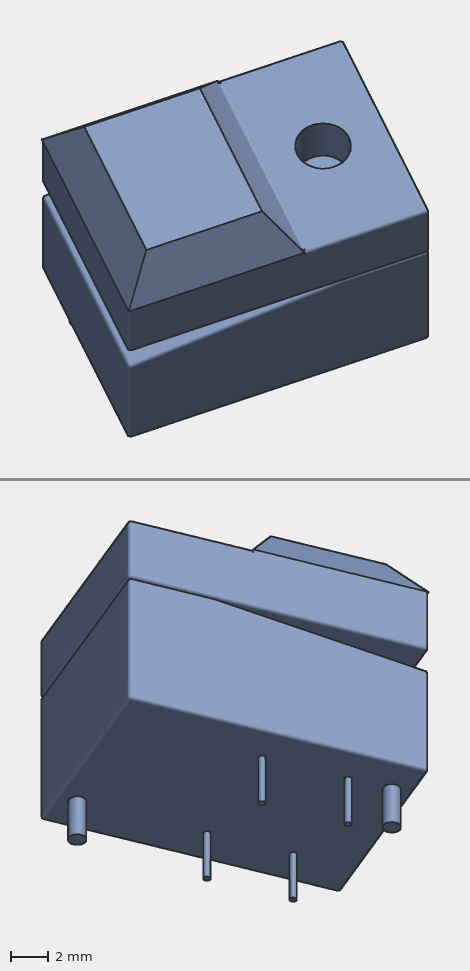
import cadquery as cq
import math

width = 12.3
length = 17.5
edge_radius = 0.2

base_height = 8.0
base_front_height = 6.63
flat_top_length = 5.0

slab_height = 3.82
button_length = 10.24
button_height = 2.5
button_taper = 35.0
hole_diameter = 3.0
hole_from_rear = 3.65
hole_depth = 3.0

peg_diameter = 1.0
peg_length = 2.5
peg_y = 7.58
lead_diameter = 0.4
lead_length = 3.0
lead_rows_y = (0.0, -5.04)
pin_x = 3.82

front_y = -length / 2
rear_y = length / 2
slab_top = base_height + slab_height
button_rear_y = front_y + button_length


def make_pins(diameter, pin_length, places):
    """Round pins hanging from the underside of the base."""
    return cq.Workplane("XY").pushPoints(places).circle(diameter / 2).extrude(-pin_length)


def make_base():
    """Rounded block with a sloping top, two diagonal locating pegs and four leads."""
    side_outline = [
        (front_y, 0),
        (rear_y, 0),
        (rear_y, base_height),
        (rear_y - flat_top_length, base_height),
        (front_y, base_front_height),
    ]
    block = cq.Workplane("YZ").polyline(side_outline).close().extrude(width / 2, both=True)
    ridge = cq.selectors.NearestToPointSelector((0, rear_y - flat_top_length, base_height))
    ridge_edge = block.edges(ridge).val()
    rounded_edges = [edge for edge in block.edges().vals() if not edge.isSame(ridge_edge)]
    base = block.newObject(rounded_edges).fillet(edge_radius)

    pegs = make_pins(peg_diameter, peg_length, [(-pin_x, -peg_y), (pin_x, peg_y)])
    lead_places = [(x, y) for x in (-pin_x, pin_x) for y in lead_rows_y]
    leads = make_pins(lead_diameter, lead_length, lead_places)
    return base.union(pegs).union(leads)


def make_corner_fillet():
    """Concave strip that blends the slab top into the rear slope of the button."""
    turn = math.radians(90 - button_taper)
    tangent_length = edge_radius * math.tan(turn / 2)
    return (
        cq.Workplane("YZ", origin=(0, button_rear_y, slab_top))
        .moveTo(0, 0)
        .lineTo(tangent_length, 0)
        .radiusArc(
            (-tangent_length * math.cos(turn), tangent_length * math.sin(turn)),
            edge_radius,
        )
        .close()
        .extrude(width / 2 - edge_radius, both=True)
    )


def make_cap():
    """Rounded slab with a four-sided tapered button and a blind round hole behind it."""
    slab = (
        cq.Workplane("XY", origin=(0, 0, base_height))
        .rect(width, length)
        .extrude(slab_height)
        .edges("|Z or <Z")
        .fillet(edge_radius)
    )
    rear_part = slab.faces(">Z").edges().fillet(edge_radius)
    front_block = (
        cq.Workplane("XY", origin=(0, front_y + button_length / 2, base_height))
        .rect(width, button_length)
        .extrude(slab_height)
    )
    front_part = slab.intersect(front_block)
    button = (
        cq.Workplane("XY", origin=(0, front_y + button_length / 2, slab_top))
        .rect(width, button_length)
        .extrude(button_height, taper=button_taper)
    )
    cap = rear_part.union(front_part).union(button).union(make_corner_fillet())

    hole = (
        cq.Workplane("XY", origin=(0, rear_y - hole_from_rear, slab_top))
        .circle(hole_diameter / 2)
        .extrude(-hole_depth)
    )
    return cap.cut(hole)


base = make_base()
cap = make_cap()
result = cq.Compound.makeCompound([base.val(), cap.val()])